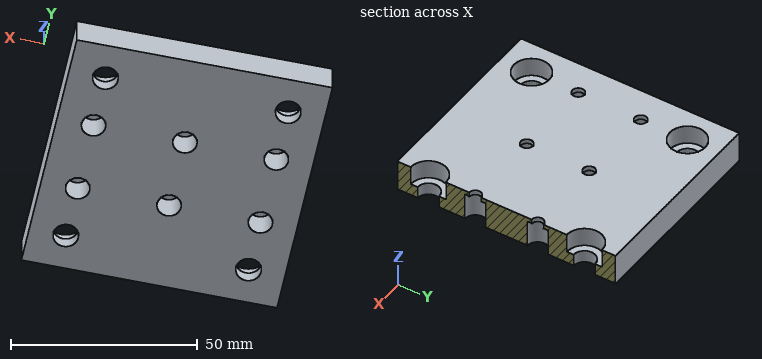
import cadquery as cq

plate_side = 70.0
plate_thickness = 10.0

mounting_holes_per_side = 2
mounting_spacing = 50.0
mounting_hole_diameter = 6.8
counterbore_diameter = 11.2
counterbore_depth = 6.0

small_hole_diameter = 3.7
small_counterbore_diameter = 6.5
small_hole_lip = 1.5
small_counterbore_depth = plate_thickness - small_hole_lip
small_hole_columns = 3
small_hole_rows = 2
small_hole_column_pitch = mounting_spacing / 2
small_hole_row_pitch = 20.0


def make_plate():
    return cq.Workplane("XY").box(
        plate_side, plate_side, plate_thickness, centered=(True, True, False)
    )


def add_mounting_holes(body):
    return (
        body.faces(">Z")
        .workplane(origin=(0, 0, plate_thickness))
        .rarray(mounting_spacing, mounting_spacing, mounting_holes_per_side, mounting_holes_per_side)
        .cboreHole(mounting_hole_diameter, counterbore_diameter, counterbore_depth)
    )


def add_small_holes(body):
    return (
        body.faces("<Z")
        .workplane(origin=(0, 0, 0))
        .rarray(
            small_hole_column_pitch,
            small_hole_row_pitch,
            small_hole_columns,
            small_hole_rows,
        )
        .cboreHole(small_hole_diameter, small_counterbore_diameter, small_counterbore_depth)
    )


result = add_small_holes(add_mounting_holes(make_plate()))